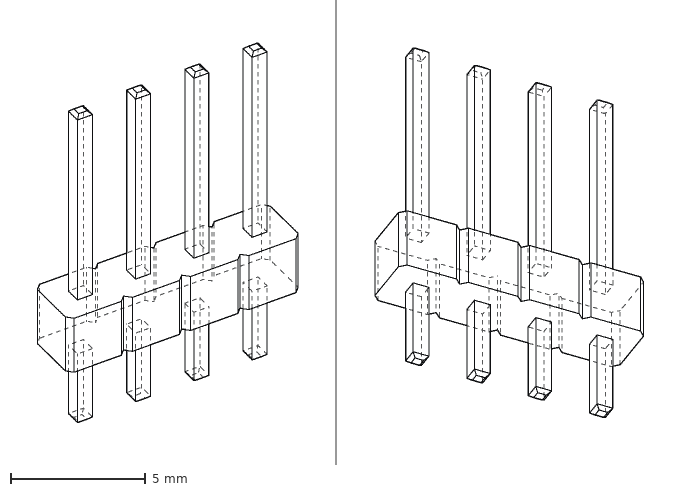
import cadquery as cq

pin_count = 4
body_width = 2.5
body_length = 10.15
body_height = 2.5
pin_length = 14.3

corner_cut = 0.25
pin_side = 0.66
tip_side = 0.36
tip_height = 0.15
tail_length = 3.32

pitch = body_length / pin_count
pin_positions = [(i - (pin_count - 1) / 2) * pitch for i in range(pin_count)]


def make_body():
    """Row of chamfered blocks, one per pin, leaving V notches between them."""
    half_width = body_width / 2
    half_pitch = pitch / 2
    right_side = []
    for y in pin_positions:
        right_side += [
            (half_width - corner_cut, y - half_pitch),
            (half_width, y - half_pitch + corner_cut),
            (half_width, y + half_pitch - corner_cut),
        ]
    right_side.append((half_width - corner_cut, body_length / 2))
    left_side = [(-x, y) for x, y in reversed(right_side)]
    return cq.Workplane("XY").polyline(right_side + left_side).close().extrude(body_height)


def make_pin():
    """Square pin with a flat-ended pyramid taper at both ends."""
    shaft_length = pin_length - 2 * tip_height
    shaft = cq.Workplane("XY").rect(pin_side, pin_side).extrude(shaft_length / 2, both=True)
    tip = (
        cq.Workplane("XY", origin=(0, 0, shaft_length / 2))
        .rect(pin_side, pin_side)
        .workplane(offset=tip_height)
        .rect(tip_side, tip_side)
        .loft(ruled=True)
    )
    pin = shaft.union(tip).union(tip.mirror("XY"))
    return pin.translate((0, 0, pin_length / 2 - tail_length))


result = make_body()
pin = make_pin()
for y in pin_positions:
    result = result.union(pin.translate((0, y, 0)))